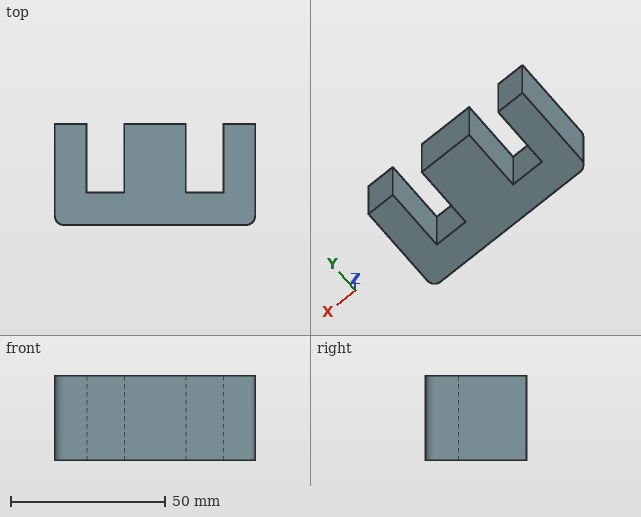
import cadquery as cq

length = 65.0
depth = 32.8
height = 27.4
center_leg_width = 20.0
window_span = 44.4
window_depth = 22.2
corner_radius = 3.0

window_width = (window_span - center_leg_width) / 2
window_offset = (window_span + center_leg_width) / 4
window_center_y = (depth - window_depth) / 2

body = cq.Workplane("XY").box(length, depth, height)
body = body.edges("|Z and <Y").fillet(corner_radius)

windows = (
    cq.Workplane("XY")
    .pushPoints([(-window_offset, window_center_y), (window_offset, window_center_y)])
    .box(window_width, window_depth, height)
)

result = body.cut(windows)